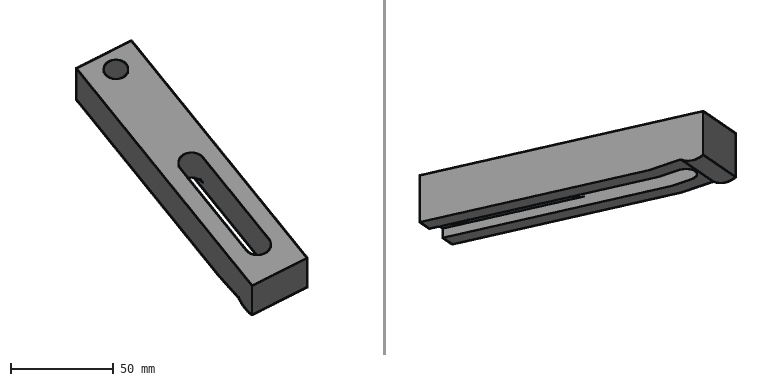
import cadquery as cq
import math

length = 160.0
width = 32.0
height = 25.0

ramp_start = 129.5
ramp_rise = 2.0
nose_center = 154.0
nose_radius = 12.0

hole_position = 11.0
hole_diameter = 12.0
slot_width = 13.0
slot_start = 73.5
slot_end = 146.4

groove_depth = 5.0


def nose_height(x):
    """Height of the nose arc above its lowest point at a position along the bar."""
    return nose_radius - math.sqrt(nose_radius**2 - (x - nose_center) ** 2)


def make_bar():
    """Side profile extruded symmetrically about the centre line."""
    nose_start = nose_center - math.sqrt(nose_radius**2 - (nose_radius - ramp_rise) ** 2)
    return (
        cq.Workplane("XZ")
        .moveTo(0, 0)
        .lineTo(ramp_start, 0)
        .lineTo(nose_start, ramp_rise)
        .threePointArc((nose_center, 0), (length, nose_height(length)))
        .lineTo(length, height)
        .lineTo(0, height)
        .close()
        .extrude(width / 2, both=True)
    )


def make_hole():
    return cq.Workplane("XY").center(hole_position, 0).circle(hole_diameter / 2).extrude(height)


def make_slot():
    slot_middle = (slot_start + slot_end) / 2
    return (
        cq.Workplane("XY")
        .center(slot_middle, 0)
        .slot2D(slot_end - slot_start, slot_width)
        .extrude(height)
    )


def make_groove():
    groove_length = (slot_start + slot_end) / 2
    return cq.Workplane("XY").box(groove_length, slot_width, groove_depth, centered=(False, True, False))


result = make_bar().cut(make_hole()).cut(make_slot()).cut(make_groove())